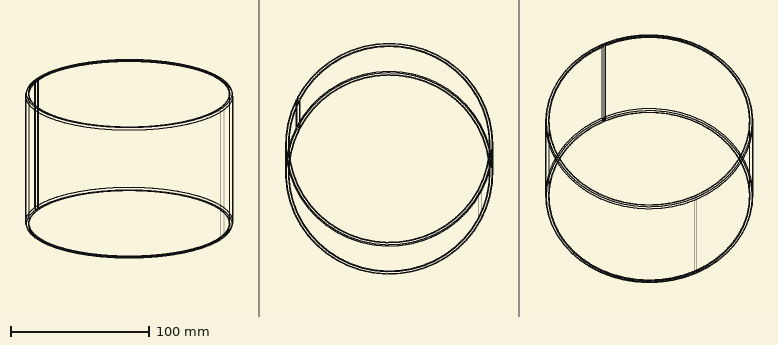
import cadquery as cq

outer_diameter = 150.0
length = 100.0
wall = 2.5
gap_width = 1.4

outer_chamfer_height = 1.8
outer_chamfer_depth = 0.6
bore_chamfer = 0.5

outer_radius = outer_diameter / 2
bore_radius = outer_radius - wall
half_length = length / 2


def bush_ring():
    """Revolve the chamfered wall section about Z, centred on the origin."""
    outer_rim = outer_radius - outer_chamfer_depth
    bore_rim = bore_radius + bore_chamfer
    outer_shoulder = half_length - outer_chamfer_height
    bore_shoulder = half_length - bore_chamfer
    section = (
        cq.Workplane("XZ")
        .moveTo(bore_rim, -half_length)
        .lineTo(outer_rim, -half_length)
        .lineTo(outer_radius, -outer_shoulder)
        .lineTo(outer_radius, outer_shoulder)
        .lineTo(outer_rim, half_length)
        .lineTo(bore_rim, half_length)
        .lineTo(bore_radius, bore_shoulder)
        .lineTo(bore_radius, -bore_shoulder)
        .close()
    )
    return section.revolve(360, (0, 0, 0), (0, 1, 0))


def split_gap():
    """Full-length slot through the wall on the -X side, from the XZ plane towards +Y."""
    cutter = cq.Workplane("XY").box(outer_radius, gap_width, length)
    return cutter.translate((-outer_radius, gap_width / 2, 0))


result = bush_ring().cut(split_gap())